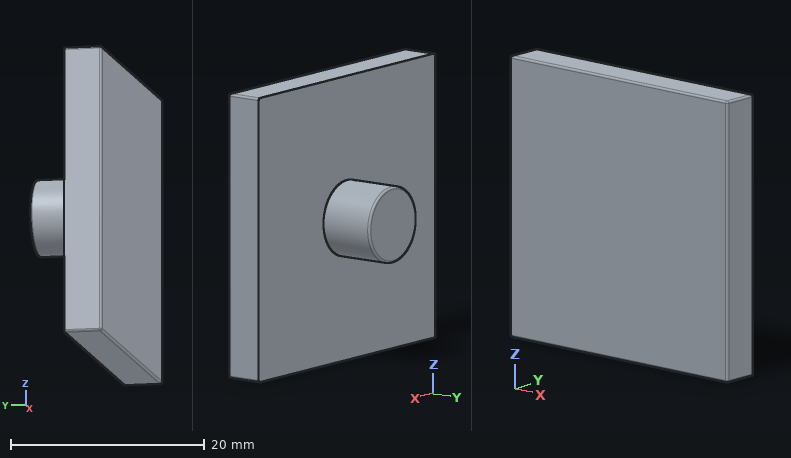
import cadquery as cq

plate_side = 30.0
plate_thickness = 4.0
plate_edge_radius = 0.25

post_diameter = 8.0
post_length = 6.0
post_edge_radius = 0.25


def make_plate():
    """Plate with every edge rounded except those of its back face."""
    plate = cq.Workplane("XY").box(
        plate_side, plate_thickness, plate_side, centered=(True, False, True)
    )
    return plate.edges("|Y or <Y").fillet(plate_edge_radius)


def make_post():
    """Post along +Y with a rounded free end."""
    post = (
        cq.Workplane("XZ", origin=(0, plate_thickness, 0))
        .circle(post_diameter / 2)
        .extrude(-post_length)
    )
    return post.faces(">Y").edges().fillet(post_edge_radius)


result = make_plate().union(make_post())